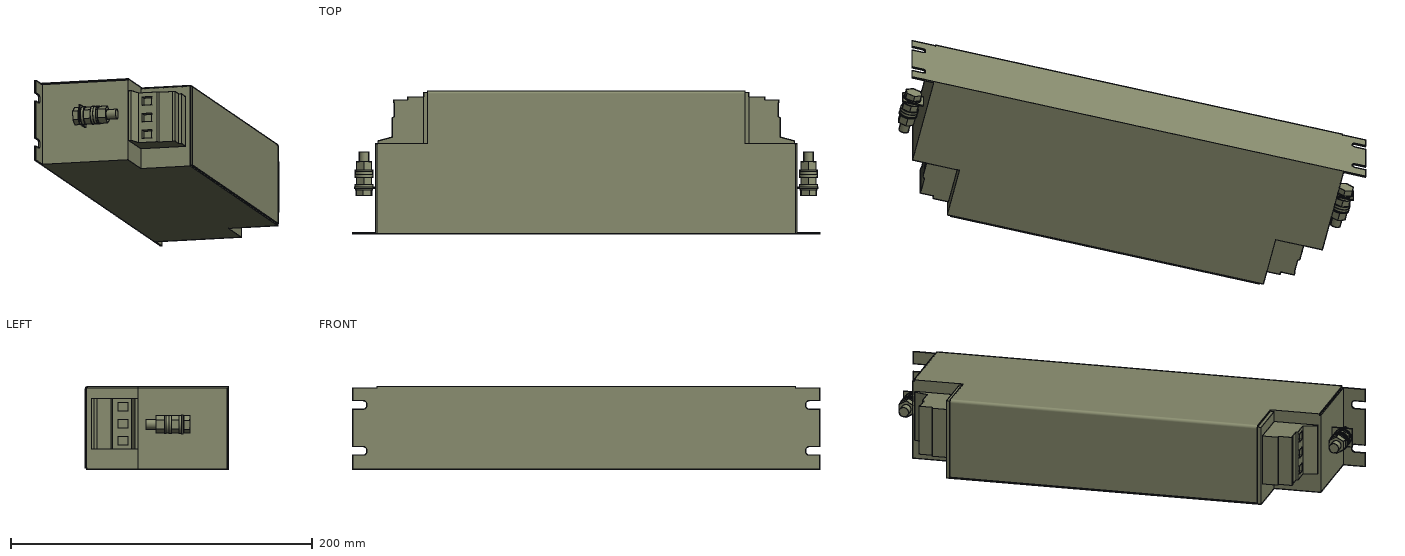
import cadquery as cq

SHEET = 1.0
FLANGE_LENGTH = 310.0
HOUSING_DEPTH = 95.0
HOUSING_HEIGHT = 55.0
BODY_LENGTH = 280.0
BODY_DEPTH = 60.0
NECK_LENGTH = 216.0
LID_NECK_LENGTH = 211.0
LID_BEND_RADIUS = 2.0
LOWER_HEIGHT = HOUSING_HEIGHT - SHEET
LID_LENGTH = BODY_LENGTH - 2 * SHEET
BODY_HALF = BODY_LENGTH / 2
NECK_HALF = NECK_LENGTH / 2

SLOT_WIDTH = 5.5
SLOT_DEPTH = 9.3
SLOT_CORNER_RADIUS = 2.3
SLOT_PITCH = 30.5
SLOT_CENTER_Z = HOUSING_HEIGHT / 2

TERMINAL_CENTER_Z = 30.2
TERMINAL_HEIGHT = 33.6
TERMINAL_FOOT_X = 138.2
TERMINAL_LOWER_X = 128.8
TERMINAL_UPPER_X = 127.9
TERMINAL_CAP_X = 118.6
TERMINAL_FOOT_Y = 61.8
TERMINAL_RAMP_Y = 64.3
TERMINAL_LEDGE_Y = 77.0
TERMINAL_SHOULDER_Y = 89.0
TERMINAL_TOP_Y = 90.9
TERMINAL_LEDGE_RISE = 0.9
PANEL_TOP_Y = 87.2
PANEL_RECESS = 0.4
WINDOW_COUNT = 3
WINDOW_PITCH = 11.2
WINDOW_HEIGHT = 5.6
WINDOW_WIDTH = 6.5
WINDOW_CENTER_Y = 69.9
WINDOW_DEPTH = 5.0

STUD_X = 147.5
STUD_Z = 29.8
STUD_DIAMETER = 6.5
STUD_TIP_Y = 54.5
HEX_ACROSS_FLATS = 10.0
WASHER_DIAMETER = 12.0
SPRING_WASHER_DIAMETER = 11.7
HEAD_WASHER_DIAMETER = 11.5
HEAD_START_Y = 25.5
HEAD_END_Y = 29.3
LUG_START_Y = 30.2
LUG_END_Y = 31.0
LUG_WASHER_END_Y = 32.9
INNER_NUT_END_Y = 37.6
INNER_WASHER_END_Y = 39.5
SPRING_WASHER_END_Y = 41.4
OUTER_WASHER_END_Y = 42.4
OUTER_NUT_END_Y = 48.0
HEAD_TURN_ANGLE = -5.0
LUG_WIDTH = 12.8


def box(x_range, y_range, z_range):
    """Box spanning the given (low, high) ranges."""
    corners = list(zip(x_range, y_range, z_range))
    size = [high - low for low, high in zip(*corners)]
    return cq.Workplane("XY").box(*size, centered=False).translate(corners[0])


def centered_box(length, y_range, z_range):
    """Box symmetric about X = 0."""
    return box((-length / 2, length / 2), y_range, z_range)


def make_body():
    """T-shaped lower housing."""
    z_range = (0, LOWER_HEIGHT)
    wide = centered_box(BODY_LENGTH, (0, BODY_DEPTH), z_range)
    neck = centered_box(NECK_LENGTH, (0, HOUSING_DEPTH - SHEET), z_range)
    return wide.union(neck)


def make_lid():
    """Cover sheet on top of the body, bent down over the back of the neck."""
    z_range = (LOWER_HEIGHT, HOUSING_HEIGHT)
    wide = centered_box(LID_LENGTH, (0, BODY_DEPTH), z_range)
    neck = centered_box(LID_NECK_LENGTH, (0, HOUSING_DEPTH), (SHEET, HOUSING_HEIGHT))
    neck = neck.edges("|X and >Y and >Z").fillet(LID_BEND_RADIUS)
    return wide.union(neck)


def make_mounting_plate():
    """Front plate with two open slots at each end."""
    plate = centered_box(FLANGE_LENGTH, (0, SHEET), (0, LOWER_HEIGHT))
    slot_centers = [
        (side * FLANGE_LENGTH / 2, SLOT_CENTER_Z + level * SLOT_PITCH / 2)
        for side in (-1, 1)
        for level in (-1, 1)
    ]
    slots = (
        cq.Workplane("XZ")
        .pushPoints(slot_centers)
        .rect(2 * SLOT_DEPTH, SLOT_WIDTH)
        .extrude(-SHEET)
        .edges("|Y")
        .fillet(SLOT_CORNER_RADIUS)
    )
    return plate.cut(slots)


def make_terminal():
    """Stepped terminal block of the -X end, with three wire windows."""
    bottom = TERMINAL_CENTER_Z - TERMINAL_HEIGHT / 2
    ledge_top = TERMINAL_LEDGE_Y + TERMINAL_LEDGE_RISE
    panel_x = TERMINAL_UPPER_X - PANEL_RECESS
    outline = [
        (-NECK_HALF, BODY_DEPTH),
        (-TERMINAL_FOOT_X, BODY_DEPTH),
        (-TERMINAL_FOOT_X, TERMINAL_FOOT_Y),
        (-TERMINAL_LOWER_X, TERMINAL_RAMP_Y),
        (-TERMINAL_LOWER_X, TERMINAL_LEDGE_Y),
        (-panel_x, ledge_top),
        (-panel_x, PANEL_TOP_Y),
        (-TERMINAL_UPPER_X, PANEL_TOP_Y),
        (-TERMINAL_UPPER_X, TERMINAL_SHOULDER_Y),
        (-TERMINAL_CAP_X, TERMINAL_SHOULDER_Y),
        (-TERMINAL_CAP_X, TERMINAL_TOP_Y),
        (-NECK_HALF, TERMINAL_TOP_Y),
    ]
    block = (
        cq.Workplane("XY")
        .workplane(offset=bottom)
        .polyline(outline)
        .close()
        .extrude(TERMINAL_HEIGHT)
    )
    windows = (
        cq.Workplane("YZ", origin=(-TERMINAL_LOWER_X, WINDOW_CENTER_Y, TERMINAL_CENTER_Z))
        .rarray(1, WINDOW_PITCH, 1, WINDOW_COUNT)
        .rect(WINDOW_WIDTH, WINDOW_HEIGHT)
        .extrude(WINDOW_DEPTH)
    )
    return block.cut(windows)


def stud_plane(start_y):
    """Workplane across the -X stud axis, facing +Y."""
    plane = cq.Plane(origin=(-STUD_X, start_y, STUD_Z), xDir=(1, 0, 0), normal=(0, 1, 0))
    return cq.Workplane(plane)


def stud_disc(diameter, start_y, end_y):
    return stud_plane(start_y).circle(diameter / 2).extrude(end_y - start_y)


def stud_hexagon(start_y, end_y, turn_angle=0):
    """Hexagon on the stud axis, with two flats facing X when not turned."""
    hexagon = stud_plane(start_y).polygon(6, HEX_ACROSS_FLATS, circumscribed=True)
    axis_start = (-STUD_X, 0, STUD_Z)
    axis_end = (-STUD_X, 1, STUD_Z)
    return hexagon.extrude(end_y - start_y).rotate(axis_start, axis_end, turn_angle)


def make_stud():
    """Earth stud of the -X end with its lug, washers and nuts."""
    parts = [
        stud_hexagon(HEAD_START_Y, HEAD_END_Y, HEAD_TURN_ANGLE),
        stud_disc(HEAD_WASHER_DIAMETER, HEAD_END_Y, LUG_START_Y),
        stud_disc(WASHER_DIAMETER, LUG_END_Y, LUG_WASHER_END_Y),
        stud_hexagon(LUG_WASHER_END_Y, INNER_NUT_END_Y),
        stud_disc(WASHER_DIAMETER, INNER_NUT_END_Y, INNER_WASHER_END_Y),
        stud_disc(SPRING_WASHER_DIAMETER, INNER_WASHER_END_Y, SPRING_WASHER_END_Y),
        stud_disc(WASHER_DIAMETER, SPRING_WASHER_END_Y, OUTER_WASHER_END_Y),
        stud_hexagon(OUTER_WASHER_END_Y, OUTER_NUT_END_Y),
        stud_disc(STUD_DIAMETER, HEAD_START_Y, STUD_TIP_Y),
    ]
    stud = box(
        (-STUD_X - LUG_WIDTH / 2, -BODY_HALF),
        (LUG_START_Y, LUG_END_Y),
        (STUD_Z - LUG_WIDTH / 2, STUD_Z + LUG_WIDTH / 2),
    )
    for part in parts:
        stud = stud.union(part)
    return stud


result = make_body().union(make_lid()).union(make_mounting_plate())
for end_part in (make_terminal(), make_stud()):
    result = result.union(end_part).union(end_part.mirror("YZ"))